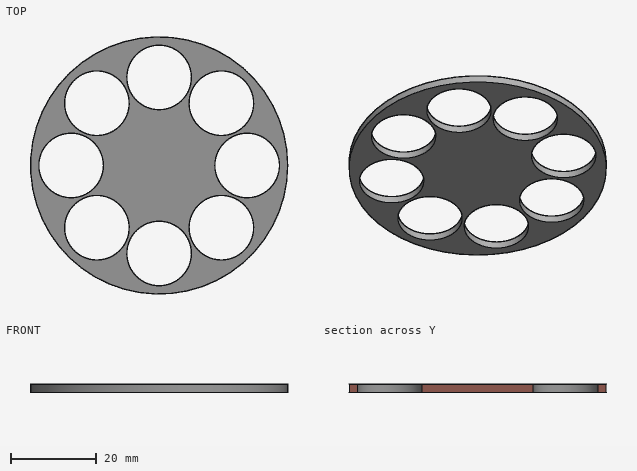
import cadquery as cq

disc_diameter = 60.0
disc_thickness = 2.0
hole_diameter = 15.0
hole_count = 8
hole_circle_radius = 20.5

disc = cq.Workplane("XY").circle(disc_diameter / 2).extrude(disc_thickness)

result = (
    disc.faces(">Z")
    .workplane()
    .polarArray(hole_circle_radius, 0, 360, hole_count)
    .hole(hole_diameter)
)